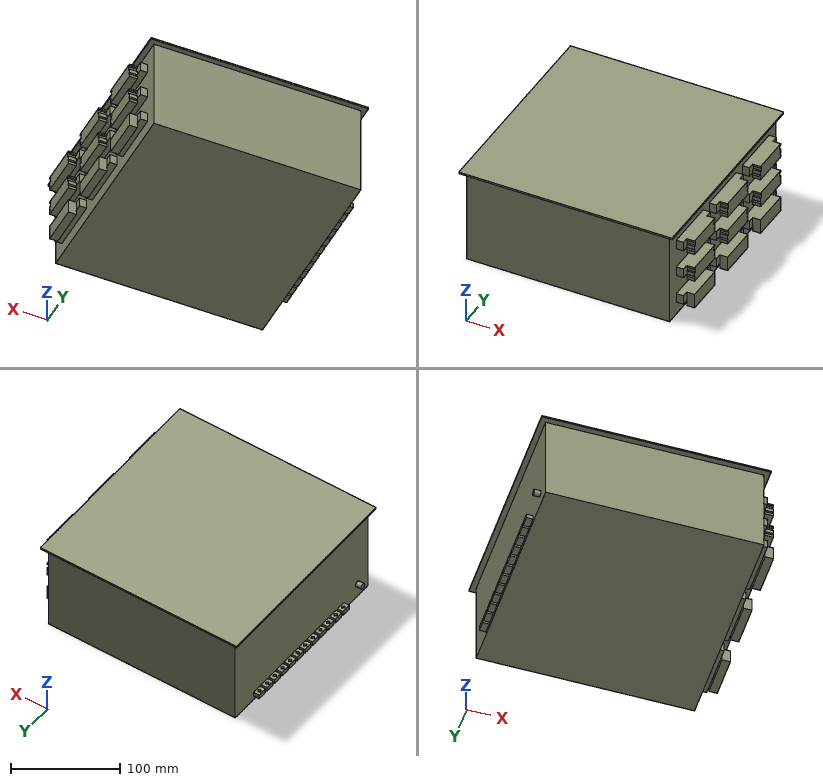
import cadquery as cq

LID_SIDE = 220.0
LID_THICKNESS = 1.8
TOTAL_HEIGHT = 100.0

BOX_SIDE = 209.3
BOX_FACE = BOX_SIDE / 2

LEFT_OVERHANG = 1.0
RIGHT_OVERHANG = 10.2
LEFT_END = -(LID_SIDE / 2 + LEFT_OVERHANG)
RIGHT_END = LID_SIDE / 2 + RIGHT_OVERHANG

BLOCK_COUNT = 12
BLOCK_WIDTH = 10.0
BLOCK_HEIGHT = 4.9
BLOCK_PITCH = 12.0
BLOCK_BOTTOM = 4.6
BLOCK_ROW_CENTER_Y = 4.6
BLOCK_HOLE_DIAMETER = 3.0
BLOCK_HOLE_DEPTH = 2.3

PIN_DIAMETER = 6.0
PIN_Y = -87.8
PIN_Z = 16.5

COLUMN_COUNT = 3
COLUMN_PITCH = 65.0
ROW_COUNT = 3
ROW_PITCH = 30.3
TOP_ROW_Z = 83.9
BASE_LENGTH = 7.5
BASE_WIDTH = 53.0
BASE_HEIGHT = 9.7
HEAD_START = BOX_FACE + BASE_LENGTH
HEAD_WIDTH = 40.0
HEAD_HEIGHT = 15.2

GROOVED_ROWS = 2
SLOT_TOP_DEPTH = 1.8
SLOT_HEIGHT = 4.2
SLOT_DEPTH = 1.8
ROUND_GROOVE_DEPTH_Z = 11.0
ROUND_GROOVE_DIAMETER = 1.8


def block(x_start, x_end, y_center, width, z_bottom, height):
    """Rectangular block reaching from x_start to x_end."""
    return (
        cq.Workplane("XY")
        .box(x_end - x_start, width, height, centered=(False, True, False))
        .translate((x_start, y_center, z_bottom))
    )


def rod(x_start, x_end, y, z, diameter):
    """Round rod parallel to X."""
    return (
        cq.Workplane("YZ", origin=(x_start, y, z))
        .circle(diameter / 2)
        .extrude(x_end - x_start)
    )


def drilled_block(y_center):
    """Small block on the -X face with a vertical blind hole in the middle of its top."""
    body = block(LEFT_END, -BOX_FACE, y_center, BLOCK_WIDTH, BLOCK_BOTTOM, BLOCK_HEIGHT)
    hole_x = (LEFT_END - BOX_FACE) / 2
    hole_bottom = BLOCK_BOTTOM + BLOCK_HEIGHT - BLOCK_HOLE_DEPTH
    hole = (
        cq.Workplane("XY", origin=(hole_x, y_center, hole_bottom))
        .circle(BLOCK_HOLE_DIAMETER / 2)
        .extrude(BLOCK_HOLE_DEPTH)
    )
    return body.cut(hole)


def connector_head(y_center, z_top, grooved):
    """Head of a connector, with a slot and a round groove along X in both ends if grooved."""
    head = block(HEAD_START, RIGHT_END, y_center, HEAD_WIDTH, z_top - HEAD_HEIGHT, HEAD_HEIGHT)
    if not grooved:
        return head
    slot_bottom = z_top - SLOT_TOP_DEPTH - SLOT_HEIGHT
    groove_z = z_top - ROUND_GROOVE_DEPTH_Z
    for side in (-1, 1):
        end_y = y_center + side * HEAD_WIDTH / 2
        head = head.cut(block(HEAD_START, RIGHT_END, end_y, 2 * SLOT_DEPTH, slot_bottom, SLOT_HEIGHT))
        head = head.cut(rod(HEAD_START, RIGHT_END, end_y, groove_z, ROUND_GROOVE_DIAMETER))
    return head


def connector(y_center, z_top, grooved):
    """Base and head, flush at the top."""
    base = block(BOX_FACE, HEAD_START, y_center, BASE_WIDTH, z_top - BASE_HEIGHT, BASE_HEIGHT)
    return base.union(connector_head(y_center, z_top, grooved))


lid_bottom = TOTAL_HEIGHT - LID_THICKNESS
result = block(-BOX_FACE, BOX_FACE, 0, BOX_SIDE, 0, lid_bottom)
result = result.union(block(-LID_SIDE / 2, LID_SIDE / 2, 0, LID_SIDE, lid_bottom, LID_THICKNESS))

for index in range(BLOCK_COUNT):
    block_y = BLOCK_ROW_CENTER_Y + (index - (BLOCK_COUNT - 1) / 2) * BLOCK_PITCH
    result = result.union(drilled_block(block_y))
result = result.union(rod(LEFT_END, -BOX_FACE, PIN_Y, PIN_Z, PIN_DIAMETER))

for row in range(ROW_COUNT):
    row_z = TOP_ROW_Z - row * ROW_PITCH
    for column in range(COLUMN_COUNT):
        column_y = (column - (COLUMN_COUNT - 1) / 2) * COLUMN_PITCH
        result = result.union(connector(column_y, row_z, row < GROOVED_ROWS))